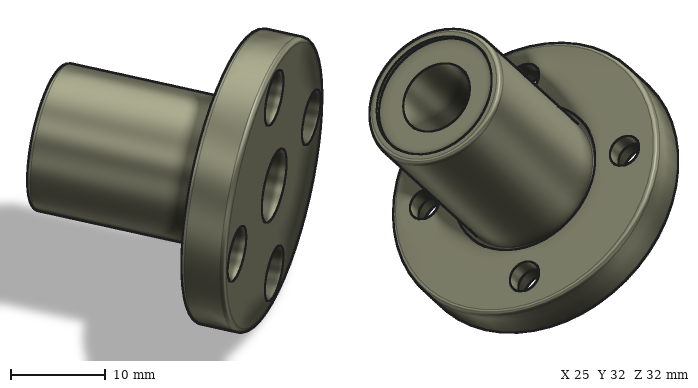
import cadquery as cq

FLANGE_DIAMETER = 32.0
FLANGE_THICKNESS = 5.0
SLEEVE_DIAMETER = 16.0
LENGTH = 25.0
BORE_DIAMETER = 8.0
EDGE_RADIUS = 0.5

RECESS_DIAMETER = 13.82
RECESS_DEPTH = 0.5

GROOVE_WIDTH = 0.5
GROOVE_DEPTH = 0.5
GROOVE_CORNER_RADIUS = 0.13

BOLT_HOLE_DIAMETER = 3.5
BOLT_CIRCLE_DIAMETER = 24.0
BOLT_HOLE_COUNT = 4
COUNTERBORE_DIAMETER = 6.0
COUNTERBORE_DEPTH = 3.1

SLEEVE_LENGTH = LENGTH - FLANGE_THICKNESS


def cylinder(diameter, start, length):
    """Solid cylinder on the X axis, beginning at X = start."""
    return cq.Workplane("YZ", origin=(start, 0, 0)).circle(diameter / 2).extrude(length)


def relief_groove():
    """Ring sunk into the flange face, with both floor corners rounded."""
    ring_diameter = SLEEVE_DIAMETER + 2 * GROOVE_WIDTH
    ring = cylinder(ring_diameter, SLEEVE_LENGTH, GROOVE_DEPTH).cut(
        cylinder(SLEEVE_DIAMETER, SLEEVE_LENGTH, GROOVE_DEPTH)
    )
    return ring.faces(">X").edges().fillet(GROOVE_CORNER_RADIUS)


def bolt_ring(diameter, depth):
    """Ring of cylinders on the bolt circle, reaching into the flange from its +X face."""
    return (
        cq.Workplane("YZ", origin=(LENGTH, 0, 0))
        .polarArray(BOLT_CIRCLE_DIAMETER / 2, 0, 360, BOLT_HOLE_COUNT)
        .circle(diameter / 2)
        .extrude(-depth)
    )


flange = cylinder(FLANGE_DIAMETER, SLEEVE_LENGTH, FLANGE_THICKNESS).edges("%CIRCLE").fillet(EDGE_RADIUS)
sleeve = cylinder(SLEEVE_DIAMETER, 0, LENGTH).faces("<X").edges().fillet(EDGE_RADIUS)

result = (
    flange.union(sleeve)
    .cut(cylinder(BORE_DIAMETER, 0, LENGTH))
    .cut(cylinder(RECESS_DIAMETER, 0, RECESS_DEPTH))
    .cut(relief_groove())
    .cut(bolt_ring(BOLT_HOLE_DIAMETER, FLANGE_THICKNESS))
    .cut(bolt_ring(COUNTERBORE_DIAMETER, COUNTERBORE_DEPTH))
)